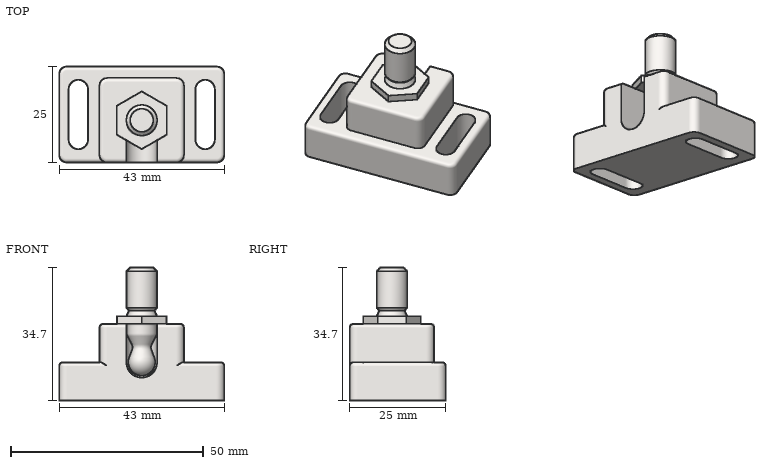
import cadquery as cq
import math

BASE_LENGTH = 43.0
BASE_WIDTH = 25.0
BASE_HEIGHT = 10.0

HOUSING_SIZE = 22.0
HOUSING_TOP = 20.0

CORNER_RADIUS = 2.0
TOP_EDGE_RADIUS = 1.0

SLOT_WIDTH = 5.0
SLOT_LENGTH = 18.0
SLOT_SPACING = 33.0

FRONT_Y = -BASE_WIDTH / 2
STUD_Y = FRONT_Y + HOUSING_SIZE / 2

SOCKET_RADIUS = 4.0
BALL_CENTER_Z = BASE_HEIGHT
BALL_RADIUS = 3.5

NECK_RADIUS = 2.4
NECK_CENTER_Z = 13.9
NECK_ARC_RADIUS = 1.6
COLLAR_RADIUS = 3.9
COLLAR_ROUND_RADIUS = 1.25
COLLAR_BOTTOM = 17.45
COLLAR_TOP_FILLET = 0.45

HEX_ACROSS_FLATS = 13.0
HEX_HEIGHT = 2.0
HEX_TOP = HOUSING_TOP + HEX_HEIGHT

STUD_RADIUS = 4.0
STUD_TOP = 34.7
STUD_CHAMFER = 1.0
UNDERCUT_RADIUS = 3.35
UNDERCUT_Z = 23.4
SHANK_BOTTOM = 24.2


def rounded_block(length, width, height, center_y):
    """Block standing on Z = 0 with rounded upright corners and a rounded top rim."""
    block = cq.Workplane("XY").center(0, center_y).rect(length, width).extrude(height)
    return block.edges("|Z").fillet(CORNER_RADIUS).faces(">Z").edges().fillet(TOP_EDGE_RADIUS)


def mounting_slots():
    """Two through slots running along Y, one at each end of the base."""
    half_spacing = SLOT_SPACING / 2
    return (
        cq.Workplane("XY")
        .pushPoints([(-half_spacing, 0), (half_spacing, 0)])
        .slot2D(SLOT_LENGTH, SLOT_WIDTH, 90)
        .extrude(BASE_HEIGHT)
    )


def socket():
    """Round-bottomed slot from the front face to a round end on the stud axis."""
    depth = HOUSING_TOP - BALL_CENTER_Z
    reach = STUD_Y - FRONT_Y
    axis_point = cq.Workplane("XY", origin=(0, STUD_Y, BALL_CENTER_Z))
    round_end = axis_point.circle(SOCKET_RADIUS).extrude(depth)
    end_bottom = axis_point.sphere(SOCKET_RADIUS)
    front_channel = (
        cq.Workplane("XZ", origin=(0, STUD_Y, BALL_CENTER_Z))
        .circle(SOCKET_RADIUS)
        .extrude(reach)
    )
    front_opening = cq.Workplane("XY").box(2 * SOCKET_RADIUS, reach, depth, centered=(True, False, False))
    front_opening = front_opening.translate((0, FRONT_Y, BALL_CENTER_Z))
    return round_end.union(end_bottom).union(front_channel).union(front_opening)


def housing_body():
    """Slotted base and housing with the socket cut out."""
    base = rounded_block(BASE_LENGTH, BASE_WIDTH, BASE_HEIGHT, 0)
    housing = rounded_block(HOUSING_SIZE, HOUSING_SIZE, HOUSING_TOP, STUD_Y)
    return base.union(housing).cut(mounting_slots()).cut(socket())


def on_circle(center, radius, angle):
    """Point of a circle in the (radius, Z) half-plane at an angle from the outward direction."""
    return center[0] + radius * math.cos(angle), center[1] + radius * math.sin(angle)


def cross_tangent_angle(center, radius, other_center, other_radius, turn):
    """Angle on the first circle where a crossing tangent to the other circle touches it."""
    run = other_center[0] - center[0]
    rise = other_center[1] - center[1]
    offset = math.acos((radius + other_radius) / math.hypot(run, rise))
    return math.atan2(rise, run) + turn * offset


def turned_stud():
    """Revolved ball, concave neck, collar and shank, with its axis on Z."""
    ball = (0, BALL_CENTER_Z)
    neck = (NECK_RADIUS + NECK_ARC_RADIUS, NECK_CENTER_Z)
    collar = (COLLAR_RADIUS - COLLAR_ROUND_RADIUS, COLLAR_BOTTOM)

    ball_angle = cross_tangent_angle(ball, BALL_RADIUS, neck, NECK_ARC_RADIUS, -1)
    collar_angle = cross_tangent_angle(collar, COLLAR_ROUND_RADIUS, neck, NECK_ARC_RADIUS, 1)
    neck_start = on_circle(neck, NECK_ARC_RADIUS, ball_angle + math.pi)
    neck_end = on_circle(neck, NECK_ARC_RADIUS, collar_angle + math.pi)

    fillet_center = (COLLAR_RADIUS + COLLAR_TOP_FILLET, HOUSING_TOP - COLLAR_TOP_FILLET)
    fillet_middle = on_circle(fillet_center, COLLAR_TOP_FILLET, 3 * math.pi / 4)

    return (
        cq.Workplane("XZ")
        .moveTo(0, BALL_CENTER_Z - BALL_RADIUS)
        .threePointArc((BALL_RADIUS, BALL_CENTER_Z), on_circle(ball, BALL_RADIUS, ball_angle))
        .lineTo(*neck_start)
        .threePointArc((NECK_RADIUS, NECK_CENTER_Z), neck_end)
        .lineTo(*on_circle(collar, COLLAR_ROUND_RADIUS, collar_angle))
        .threePointArc(
            on_circle(collar, COLLAR_ROUND_RADIUS, collar_angle / 2),
            (COLLAR_RADIUS, COLLAR_BOTTOM),
        )
        .lineTo(COLLAR_RADIUS, fillet_center[1])
        .threePointArc(fillet_middle, (fillet_center[0], HOUSING_TOP))
        .lineTo(fillet_center[0], HEX_TOP)
        .lineTo(STUD_RADIUS, HEX_TOP)
        .lineTo(UNDERCUT_RADIUS, UNDERCUT_Z)
        .lineTo(STUD_RADIUS, SHANK_BOTTOM)
        .lineTo(STUD_RADIUS, STUD_TOP - STUD_CHAMFER)
        .lineTo(STUD_RADIUS - STUD_CHAMFER, STUD_TOP)
        .lineTo(0, STUD_TOP)
        .close()
        .revolve(360, (0, 0, 0), (0, 1, 0))
    )


def ball_stud():
    """Turned stud with a hexagon whose corners point along Y, placed on the stud axis."""
    across_corners = HEX_ACROSS_FLATS / math.cos(math.pi / 6)
    hexagon = (
        cq.Workplane("XY", origin=(0, 0, HOUSING_TOP))
        .transformed(rotate=(0, 0, 90))
        .polygon(6, across_corners)
        .extrude(HEX_HEIGHT)
    )
    return turned_stud().union(hexagon).translate((0, STUD_Y, 0))


result = housing_body().union(ball_stud())